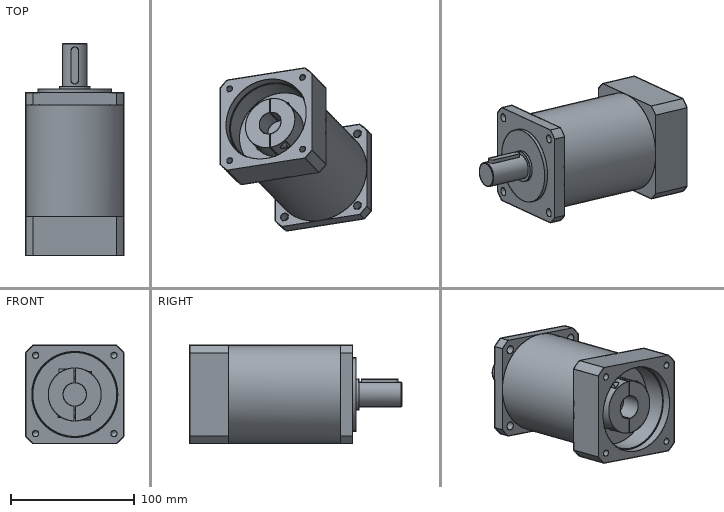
import cadquery as cq
import math

TOTAL_LENGTH = 172.5

SQUARE = 80.0
CORNER_RADIUS = 52.5
BOLT_CIRCLE_RADIUS = 45.0
BLOCK_LENGTH = 31.5
FLANGE_THICKNESS = 10.0

SHAFT_RADIUS = 10.0
SHAFT_LENGTH = 35.0
SHAFT_CHAMFER = 0.5
SHOULDER_RADIUS = 12.6
SHOULDER_LENGTH = 2.0
PILOT_RADIUS = 30.0
PILOT_LENGTH = 3.0
FLANGE_HOLE_DIAMETER = 6.5

KEY_WIDTH = 6.0
KEY_LENGTH = 30.0
KEY_TIP_GAP = 3.0
KEY_TOP = 12.5

POCKET_RADIUS = 34.2
POCKET_DEPTH = 28.0
MOTOR_PILOT_RADIUS = 35.0
MOTOR_PILOT_DEPTH = 8.0
MOTOR_HOLE_DIAMETER = 5.0
MOTOR_HOLE_DEPTH = 15.0
DRILL_POINT_ANGLE = 118.0

COLLAR_RADIUS = 21.5
COLLAR_FACE_DEPTH = 9.0
COLLAR_BORE_DIAMETER = 19.0
SLIT_WIDTH = 1.0

SCREW_HEIGHT = 15.7
SCREW_DEPTH = 15.5
SCREW_DIAMETER = 5.9
SCREW_HEAD_DIAMETER = 10.0
SCREW_HEAD_LENGTH = 6.0
SCREW_HEAD_END = 13.0
SCREW_TIP_END = 13.5

SHOULDER_END = TOTAL_LENGTH - SHAFT_LENGTH
PILOT_END = SHOULDER_END - SHOULDER_LENGTH
FLANGE_FACE = PILOT_END - PILOT_LENGTH
FLANGE_BACK = FLANGE_FACE - FLANGE_THICKNESS


def plane_at(y):
    """Plane across the axis at y: local x is X, local y is Z, and it faces -Y."""
    return cq.Workplane("XZ", origin=(0, y, 0))


def disc(radius, start, end):
    """Solid cylinder on the gearbox axis from start to end."""
    return plane_at(start).circle(radius).extrude(start - end)


def square_plate(start, end):
    """Square plate with its corners turned to CORNER_RADIUS."""
    plate = plane_at(start).rect(SQUARE, SQUARE).extrude(start - end)
    return plate.intersect(disc(CORNER_RADIUS, start, end))


def corner_points():
    """The four bolt positions on the diagonals, as (x, z)."""
    offset = BOLT_CIRCLE_RADIUS / math.sqrt(2)
    return [(x, z) for x in (-offset, offset) for z in (-offset, offset)]


def key():
    """Round-ended key that rises from the shaft."""
    middle = TOTAL_LENGTH - KEY_TIP_GAP - KEY_LENGTH / 2
    return (
        cq.Workplane("XY", origin=(0, middle, 0))
        .slot2D(KEY_LENGTH, KEY_WIDTH, 90)
        .extrude(KEY_TOP)
    )


def output_shaft():
    """Shaft with a chamfered tip, its shoulder and its key."""
    shaft = disc(SHAFT_RADIUS, SHOULDER_END, TOTAL_LENGTH).faces(">Y").chamfer(SHAFT_CHAMFER)
    return shaft.union(disc(SHOULDER_RADIUS, PILOT_END, SHOULDER_END)).union(key())


def flange_holes():
    """Through holes in the corners of the output flange."""
    return (
        plane_at(FLANGE_BACK)
        .pushPoints(corner_points())
        .circle(FLANGE_HOLE_DIAMETER / 2)
        .extrude(-FLANGE_THICKNESS)
    )


def motor_hole(x, z):
    """Blind drilled hole from the input face, ending in a drill point."""
    radius = MOTOR_HOLE_DIAMETER / 2
    point_length = radius / math.tan(math.radians(DRILL_POINT_ANGLE / 2))
    profile = [(0, 0), (radius, 0), (radius, MOTOR_HOLE_DEPTH), (0, MOTOR_HOLE_DEPTH + point_length)]
    drill = cq.Workplane("XY").polyline(profile).close().revolve(360, (0, 0), (0, 1))
    return drill.translate((x, 0, z))


def make_housing():
    """Housing with its input block, output flange and keyed output shaft."""
    body = square_plate(0, BLOCK_LENGTH)
    body = body.union(disc(SQUARE / 2, BLOCK_LENGTH, FLANGE_BACK))
    body = body.union(square_plate(FLANGE_BACK, FLANGE_FACE))
    body = body.union(disc(PILOT_RADIUS, FLANGE_FACE, PILOT_END))
    body = body.union(output_shaft())
    body = body.cut(disc(MOTOR_PILOT_RADIUS, 0, MOTOR_PILOT_DEPTH))
    body = body.cut(disc(POCKET_RADIUS, 0, POCKET_DEPTH))
    body = body.cut(flange_holes())
    for x, z in corner_points():
        body = body.cut(motor_hole(x, z))
    return body


def clamp_screw():
    """Upper clamping screw, head on the -X side."""
    head_seat = SCREW_HEAD_LENGTH - SCREW_HEAD_END
    return (
        cq.Workplane("YZ", origin=(-SCREW_HEAD_END, SCREW_DEPTH, SCREW_HEIGHT))
        .circle(SCREW_HEAD_DIAMETER / 2)
        .extrude(SCREW_HEAD_LENGTH)
        .union(
            cq.Workplane("YZ", origin=(head_seat, SCREW_DEPTH, SCREW_HEIGHT))
            .circle(SCREW_DIAMETER / 2)
            .extrude(SCREW_TIP_END - head_seat)
        )
    )


def make_collar():
    """Split clamping collar whose two halves are joined by the screws."""
    collar = disc(COLLAR_RADIUS, COLLAR_FACE_DEPTH, POCKET_DEPTH)
    collar = collar.cut(disc(COLLAR_BORE_DIAMETER / 2, COLLAR_FACE_DEPTH, POCKET_DEPTH))
    slit = (
        plane_at(COLLAR_FACE_DEPTH)
        .rect(SLIT_WIDTH, 2 * COLLAR_RADIUS)
        .extrude(COLLAR_FACE_DEPTH - POCKET_DEPTH)
    )
    collar = collar.cut(slit)
    for angle in (0, 180):
        collar = collar.union(clamp_screw().rotate((0, 0, 0), (0, 1, 0), angle))
    return collar


housing = make_housing()
collar = make_collar()

result = cq.Compound.makeCompound([housing.solids().val(), collar.solids().val()])